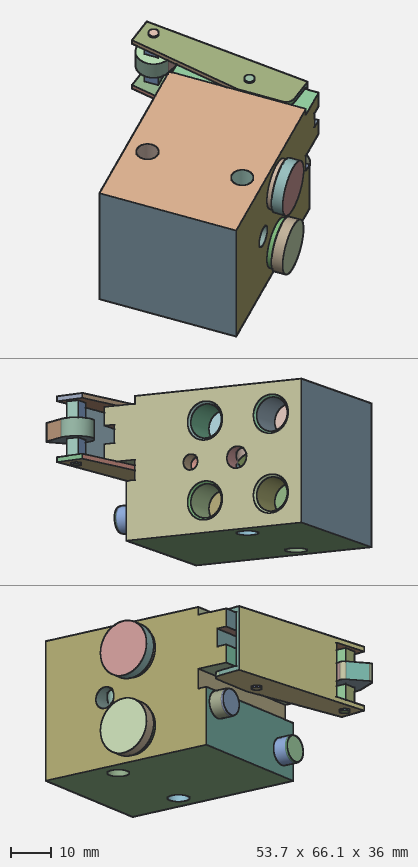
import cadquery as cq
import math

BLOCK_WIDTH = 36.1
BLOCK_HEIGHT = 36.0
BLOCK_DEPTH = 46.5
MID_X = BLOCK_WIDTH / 2
MID_Z = BLOCK_HEIGHT / 2
LEDGE_DEPTH = 48.95
LEDGE_TOP = 14.95
TONGUE_DEPTH = 55.0
TONGUE_BOTTOM = 20.05
TONGUE_TOP = 34.0
TONGUE_MID = (TONGUE_BOTTOM + TONGUE_TOP) / 2
SLOT_FLOOR = 52.2
SLOT_HEIGHT = 4.6

MOUNTING_HOLE_DIAMETER = 5.5
MOUNTING_HOLE_Y = 18.05
MOUNTING_HOLE_SPACING = 25.0

PORT_DIAMETER = 8.55
PORT_MOUTH_DIAMETER = 9.7
PORT_DEPTH = 9.9
PORT_SPACING_Z = 20.0
PORT_FRONT_Y = 8.55
PORT_REAR_Y = 26.9
PORT_HEIGHTS = [MID_Z - PORT_SPACING_Z / 2, MID_Z + PORT_SPACING_Z / 2]

PILOT_DIAMETER = 4.0
PILOT_DEPTH = 4.0
PILOT_Y = 30.95
DRILL_POINT_ANGLE = 118.0

FITTING_NECK_DIAMETER = 13.0
FITTING_NECK_LENGTH = 1.4
FITTING_HEAD_DIAMETER = 14.0
FITTING_HEAD_LENGTH = 3.0

BUTTON_DIAMETER = 7.0
BUTTON_TIP_DIAMETER = 6.7
BUTTON_LENGTH = 4.05
BUTTON_BEVEL_LENGTH = 0.5
BUTTON_SPACING_X = 26.6
LOW_BUTTON_Z = 6.35
HIGH_BUTTON_Z = 11.5

PIVOT_X = 19.1
PIVOT_Y = 51.8
LEVER_TILT = -6.9
PLATE_THICKNESS = 1.25
LEVER_LENGTH = 44.9
LEVER_TIP_WIDTH = 7.6
LEVER_END_WIDTH = 8.85
LEVER_BEND_U = 30.95
LEVER_BEND_WIDTH = 10.5
LEVER_CORNER_RADIUS = 2.3
LEVER_PIVOT_U = 32.0
LEVER_PIVOT_V = -6.15
LEVER_AXLE_U = 3.65
LEVER_AXLE_V = -3.2
WEB_START_U = 9.9
WEB_THICKNESS = 1.0

PIN_DIAMETER = 2.6
PIN_PROTRUSION = 0.45
PIN_BOTTOM = TONGUE_BOTTOM - PLATE_THICKNESS - PIN_PROTRUSION
PIN_LENGTH = TONGUE_TOP - TONGUE_BOTTOM + 2 * (PLATE_THICKNESS + PIN_PROTRUSION)
AXLE_BLOCK_X = 3.7
AXLE_BLOCK_Y = 3.3

CAM_THICKNESS = 4.6
CAM_HUB_RADIUS = 4.5
CAM_TIP_RADIUS = 1.05
CAM_TIP_OFFSET = (-0.25, 6.95)
CAM_HEEL_RADIUS = 1.45
CAM_HEEL_OFFSET = (4.0, 2.85)


def lever_point(u, v):
    """Place a point of the lever's own frame in X and Y."""
    tilt = math.radians(LEVER_TILT)
    du = u - LEVER_PIVOT_U
    dv = v - LEVER_PIVOT_V
    x = PIVOT_X + du * math.cos(tilt) - dv * math.sin(tilt)
    y = PIVOT_Y + du * math.sin(tilt) + dv * math.cos(tilt)
    return (x, y)


AXLE = lever_point(LEVER_AXLE_U, LEVER_AXLE_V)


def box(x_range, y_range, z_range):
    """A box between two limits along each axis."""
    size = [high - low for low, high in (x_range, y_range, z_range)]
    corner = (x_range[0], y_range[0], z_range[0])
    return cq.Workplane("XY").box(*size, centered=False).translate(corner)


def cylinder(diameter, length, base, direction):
    """A cylinder that starts at base and runs along direction."""
    return cq.Workplane(cq.Solid.makeCylinder(diameter / 2, length, cq.Vector(*base), cq.Vector(*direction)))


def cone(start_diameter, end_diameter, length, base, direction):
    """A cone or truncated cone that starts at base and runs along direction."""
    return cq.Workplane(
        cq.Solid.makeCone(start_diameter / 2, end_diameter / 2, length, cq.Vector(*base), cq.Vector(*direction))
    )


def port(y, z):
    """A blind bore from the left face with a 45 degree mouth."""
    mouth_depth = (PORT_MOUTH_DIAMETER - PORT_DIAMETER) / 2
    mouth = cone(PORT_MOUTH_DIAMETER, PORT_DIAMETER, mouth_depth, (0, y, z), (1, 0, 0))
    return cylinder(PORT_DIAMETER, PORT_DEPTH, (0, y, z), (1, 0, 0)).union(mouth)


def pilot_hole():
    """A drilled blind hole in the left face with a conical end."""
    point_length = PILOT_DIAMETER / 2 / math.tan(math.radians(DRILL_POINT_ANGLE / 2))
    point = cone(PILOT_DIAMETER, 0, point_length, (PILOT_DEPTH, PILOT_Y, MID_Z), (1, 0, 0))
    return cylinder(PILOT_DIAMETER, PILOT_DEPTH, (0, PILOT_Y, MID_Z), (1, 0, 0)).union(point)


def fitting(z):
    """A necked round fitting on the right face."""
    base = (BLOCK_WIDTH, PORT_REAR_Y, z)
    head_base = (BLOCK_WIDTH + FITTING_NECK_LENGTH, PORT_REAR_Y, z)
    neck = cylinder(FITTING_NECK_DIAMETER, FITTING_NECK_LENGTH, base, (1, 0, 0))
    return neck.union(cylinder(FITTING_HEAD_DIAMETER, FITTING_HEAD_LENGTH, head_base, (1, 0, 0)))


def button(x, z):
    """A round button on the rear of the ledge with a bevelled tip."""
    straight = BUTTON_LENGTH - BUTTON_BEVEL_LENGTH
    tip_base = (x, LEDGE_DEPTH + straight, z)
    tip = cone(BUTTON_DIAMETER, BUTTON_TIP_DIAMETER, BUTTON_BEVEL_LENGTH, tip_base, (0, 1, 0))
    return cylinder(BUTTON_DIAMETER, straight, (x, LEDGE_DEPTH, z), (0, 1, 0)).union(tip)


def pin(x, y):
    """A round pin through both lever plates, proud of them at each end."""
    return cylinder(PIN_DIAMETER, PIN_LENGTH, (x, y, PIN_BOTTOM), (0, 0, 1))


def make_housing():
    width = (0, BLOCK_WIDTH)
    body = box(width, (0, BLOCK_DEPTH), (0, BLOCK_HEIGHT))
    body = body.union(box(width, (0, LEDGE_DEPTH), (0, LEDGE_TOP)))
    body = body.union(box(width, (0, TONGUE_DEPTH), (TONGUE_BOTTOM, TONGUE_TOP)))

    slot_range = (TONGUE_MID - SLOT_HEIGHT / 2, TONGUE_MID + SLOT_HEIGHT / 2)
    body = body.cut(box(width, (SLOT_FLOOR, TONGUE_DEPTH), slot_range))

    for z in PORT_HEIGHTS:
        body = body.union(fitting(z))
        for y in (PORT_FRONT_Y, PORT_REAR_Y):
            body = body.cut(port(y, z))
    body = body.cut(pilot_hole())

    body = body.union(button(MID_X - BUTTON_SPACING_X / 2, LOW_BUTTON_Z))
    body = body.union(button(MID_X + BUTTON_SPACING_X / 2, HIGH_BUTTON_Z))

    cross_base = (0, MOUNTING_HOLE_Y, MID_Z)
    body = body.cut(cylinder(MOUNTING_HOLE_DIAMETER, BLOCK_WIDTH, cross_base, (1, 0, 0)))
    for side in (-1, 1):
        base = (MID_X + side * MOUNTING_HOLE_SPACING / 2, MOUNTING_HOLE_Y, 0)
        body = body.cut(cylinder(MOUNTING_HOLE_DIAMETER, BLOCK_HEIGHT, base, (0, 0, 1)))

    return body.cut(pin(PIVOT_X, PIVOT_Y))


def lever_plate(bottom):
    """One flat side plate of the lever."""
    end_corner = lever_point(LEVER_LENGTH, -LEVER_END_WIDTH)
    outline = [
        lever_point(0, 0),
        lever_point(0, -LEVER_TIP_WIDTH),
        lever_point(LEVER_BEND_U, -LEVER_BEND_WIDTH),
        end_corner,
        lever_point(LEVER_LENGTH, 0),
    ]
    plate = cq.Workplane("XY").workplane(offset=bottom).polyline(outline).close().extrude(PLATE_THICKNESS)
    near_end = cq.selectors.NearestToPointSelector((*end_corner, bottom + PLATE_THICKNESS / 2))
    return plate.edges("|Z").edges(near_end).fillet(LEVER_CORNER_RADIUS)


def make_lever():
    web_outline = [
        lever_point(WEB_START_U, 0),
        lever_point(WEB_START_U, -WEB_THICKNESS),
        lever_point(LEVER_LENGTH, -WEB_THICKNESS),
        lever_point(LEVER_LENGTH, 0),
    ]
    web_height = TONGUE_TOP - TONGUE_BOTTOM
    web = cq.Workplane("XY").workplane(offset=TONGUE_BOTTOM).polyline(web_outline).close().extrude(web_height)
    lever = web.union(lever_plate(TONGUE_BOTTOM - PLATE_THICKNESS)).union(lever_plate(TONGUE_TOP))
    return lever.cut(pin(PIVOT_X, PIVOT_Y)).cut(pin(*AXLE))


def make_axle():
    """A round pin with a rectangular middle that fills the gap between the lever plates."""
    x_range = (AXLE[0] - AXLE_BLOCK_X / 2, AXLE[0] + AXLE_BLOCK_X / 2)
    y_range = (AXLE[1] - AXLE_BLOCK_Y / 2, AXLE[1] + AXLE_BLOCK_Y / 2)
    return pin(*AXLE).union(box(x_range, y_range, (TONGUE_BOTTOM, TONGUE_TOP)))


def tangent_points(first, second):
    """Where the outer tangent on the right of two circles (x, y, radius) touches each of them."""
    dx = second[0] - first[0]
    dy = second[1] - first[1]
    spread = math.asin((second[2] - first[2]) / math.hypot(dx, dy))
    normal = math.atan2(dy, dx) - math.pi / 2 - spread
    return [(x + r * math.cos(normal), y + r * math.sin(normal)) for x, y, r in (first, second)]


def arc_middle(circle, start, end):
    """The point halfway along the counterclockwise arc from start to end."""
    x, y, radius = circle
    start_angle = math.atan2(start[1] - y, start[0] - x)
    end_angle = math.atan2(end[1] - y, end[0] - x)
    angle = start_angle + ((end_angle - start_angle) % math.tau) / 2
    return (x + radius * math.cos(angle), y + radius * math.sin(angle))


def make_cam(axle):
    """A hub, heel and tip joined by tangent flanks."""
    hub = (*AXLE, CAM_HUB_RADIUS)
    heel = (AXLE[0] + CAM_HEEL_OFFSET[0], AXLE[1] + CAM_HEEL_OFFSET[1], CAM_HEEL_RADIUS)
    tip = (AXLE[0] + CAM_TIP_OFFSET[0], AXLE[1] + CAM_TIP_OFFSET[1], CAM_TIP_RADIUS)
    hub_out, heel_in = tangent_points(hub, heel)
    heel_out, tip_in = tangent_points(heel, tip)
    tip_out, hub_in = tangent_points(tip, hub)
    cam = (
        cq.Workplane("XY")
        .workplane(offset=TONGUE_MID - CAM_THICKNESS / 2)
        .moveTo(*hub_out)
        .lineTo(*heel_in)
        .threePointArc(arc_middle(heel, heel_in, heel_out), heel_out)
        .lineTo(*tip_in)
        .threePointArc(arc_middle(tip, tip_in, tip_out), tip_out)
        .lineTo(*hub_in)
        .threePointArc(arc_middle(hub, hub_in, hub_out), hub_out)
        .close()
        .extrude(CAM_THICKNESS)
    )
    return cam.cut(axle)


housing = make_housing()
lever = make_lever()
pivot_pin = pin(PIVOT_X, PIVOT_Y)
axle = make_axle()
cam = make_cam(axle)

result = cq.Compound.makeCompound([housing.val(), lever.val(), pivot_pin.val(), axle.val(), cam.val()])